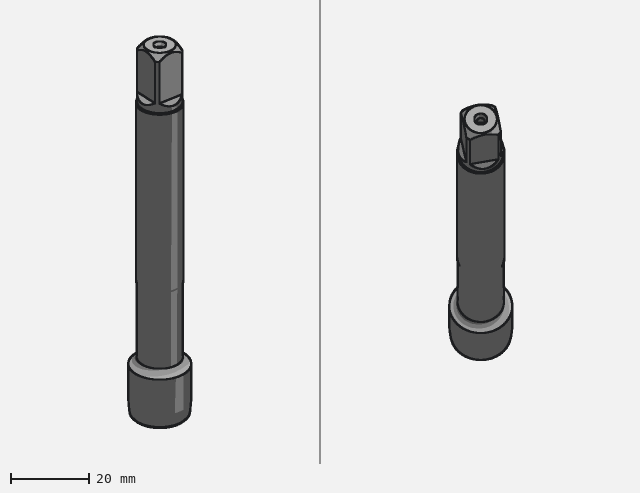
import cadquery as cq
import math

total_length = 110.0
head_bevel_top = 0.8
head_taper_top = 4.4
head_top = 15.1
flare_top = 17.0
body_bottom = 39.3
neck_bottom = 93.1

body_taper_height = 0.7
body_top_chamfer = 0.3

flare_sagitta = 0.38

head_diameter = 16.2
head_lead_diameter = 15.5
head_bottom_diameter = 14.0
lower_shank_diameter = 11.9
body_diameter = 12.2
neck_diameter = 11.7

across_flats = 9.0
flat_length = 14.1
end_face_diameter = 8.2

centre_hole_diameter = 2.0
countersink_diameter = 3.3
countersink_angle = 60.0
centre_hole_depth = 3.3
drill_point_angle = 120.0


def make_head():
    """Cylindrical head with a curved lead and a bevelled bottom edge."""
    bottom_radius = head_bottom_diameter / 2
    lead_radius = head_lead_diameter / 2
    radius = head_diameter / 2
    return (
        cq.Workplane("XZ")
        .moveTo(0, head_top)
        .lineTo(radius, head_top)
        .lineTo(radius, head_taper_top)
        .tangentArcPoint((lead_radius, head_bevel_top), relative=False)
        .lineTo(bottom_radius, 0)
        .lineTo(0, 0)
        .close()
        .revolve(360, (0, 0), (0, 1))
    )


def make_shank_blank():
    """Turned shank: concave flare, lower shank, thicker body and neck with a chamfered end."""
    neck_radius = neck_diameter / 2
    body_radius = body_diameter / 2
    lower_radius = lower_shank_diameter / 2
    end_radius = end_face_diameter / 2
    end_chamfer = neck_radius - end_radius
    return (
        cq.Workplane("XZ")
        .moveTo(0, head_top)
        .lineTo(head_diameter / 2, head_top)
        .sagittaArc((lower_radius, flare_top), flare_sagitta)
        .lineTo(lower_radius, body_bottom)
        .lineTo(body_radius, body_bottom + body_taper_height)
        .lineTo(body_radius, neck_bottom - body_top_chamfer)
        .lineTo(neck_radius, neck_bottom)
        .lineTo(neck_radius, total_length - end_chamfer)
        .lineTo(end_radius, total_length)
        .lineTo(0, total_length)
        .close()
        .revolve(360, (0, 0), (0, 1))
    )


def make_flat_cutter():
    """Cutter for one drive flat on the +X side, with a 45 degree run-out below it."""
    half_flats = across_flats / 2
    outer = body_diameter / 2
    cutter_depth = outer - half_flats
    flat_bottom = total_length - flat_length
    return (
        cq.Workplane("XZ")
        .polyline([
            (half_flats, total_length),
            (half_flats, flat_bottom),
            (outer, flat_bottom - cutter_depth),
            (outer, total_length),
        ])
        .close()
        .extrude(outer, both=True)
    )


def make_centre_hole():
    """Countersunk blind hole with a conical drill point."""
    hole_radius = centre_hole_diameter / 2
    sink_radius = countersink_diameter / 2
    sink_depth = (sink_radius - hole_radius) / math.tan(math.radians(countersink_angle / 2))
    point_height = hole_radius / math.tan(math.radians(drill_point_angle / 2))
    hole_bottom = total_length - centre_hole_depth
    return (
        cq.Workplane("XZ")
        .polyline([
            (0, total_length),
            (sink_radius, total_length),
            (hole_radius, total_length - sink_depth),
            (hole_radius, hole_bottom),
            (0, hole_bottom - point_height),
        ])
        .close()
        .revolve(360, (0, 0), (0, 1))
    )


def make_shank():
    """Shank with four drive flats and a centre hole."""
    shank = make_shank_blank()
    flat_count = 4
    for index in range(flat_count):
        angle = index * 360 / flat_count
        shank = shank.cut(make_flat_cutter().rotate((0, 0, 0), (0, 0, 1), angle))
    return shank.cut(make_centre_hole())


head = make_head()
shank = make_shank()

result = cq.Compound.makeCompound([head.val(), shank.val()])